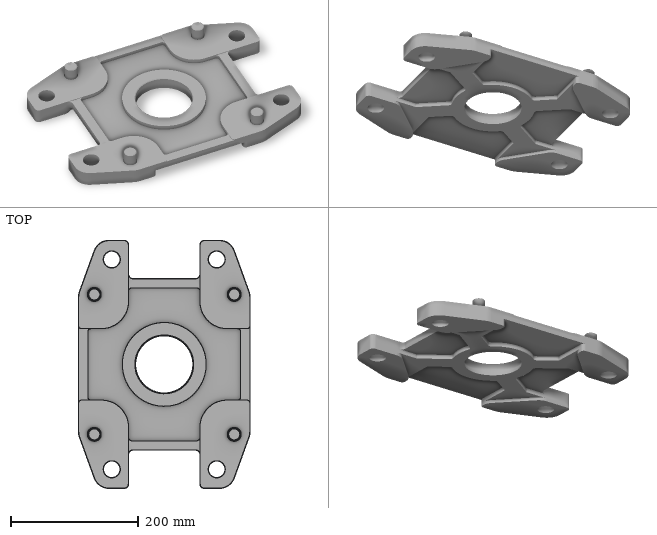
import cadquery as cq
import math

half_width = 135.0
half_length = 195.0
pad_top = 25.0
frame_top = 23.8
web_bottom = 12.0
floor_top = 17.5
rib_bottom = 5.0
end_radius = 7.0
side_radius = 5.0

pad_inner = 56.0
pad_inner_radius = 42.5
taper_start = 110.0
taper_end_x = 104.0
taper_start_radius = 30.0
pad_end_radius = 25.0
foot_inner_y = 76.0
sole_cut = 62.5
sole_radius = 20.0
bolt_hole_y = 165.0
bolt_hole_x = bolt_hole_y / 2
bolt_hole_diameter = 26.0

pocket_half = 120.0
pocket_radius = 5.0
hub_diameter = 132.0
bore_diameter = 90.0
bore_chamfer = 1.0
rib_width = 30.0
rib_root_radius = 6.0

pin_offset = 110.0
pin_diameter = 20.0
pin_hole_diameter = 22.0
pin_floor = web_bottom
pin_top = 44.5
pin_chamfer = 1.0

QUADRANTS = [(1, 1), (-1, 1), (-1, -1), (1, -1)]


def pad_prism(inner_y, inner_corners, inner_radius, bottom, top):
    """Pad of the +X +Y corner with its inner edge at inner_y.

    The inner corners are rounded with inner_radius, or left sharp if that is zero.
    """
    outer_corners = [
        ((half_width, inner_y), side_radius),
        ((half_width, taper_start), taper_start_radius),
        ((taper_end_x, half_length), pad_end_radius),
        ((pad_inner, half_length), end_radius),
    ]
    rounded = outer_corners + [(corner, inner_radius) for corner in inner_corners if inner_radius > 0]
    outline = [corner for corner, radius in outer_corners] + inner_corners
    middle_z = (bottom + top) / 2
    pad = cq.Workplane("XY").workplane(offset=bottom).polyline(outline).close().extrude(top - bottom)
    for corner, radius in rounded:
        nearest = cq.selectors.NearestToPointSelector((*corner, middle_z))
        pad = pad.edges("|Z").edges(nearest).fillet(radius)
    return pad


def in_all_corners(solid):
    """The solid of the +X +Y corner together with its mirror images in the other three."""
    pair = solid.union(solid.mirror("YZ"))
    return pair.union(pair.mirror("XZ"))


def box_between(size_x, size_y, bottom, top):
    return cq.Workplane("XY").workplane(offset=bottom).rect(size_x, size_y).extrude(top - bottom)


def cylinder_between(diameter, bottom, top):
    return cq.Workplane("XY").workplane(offset=bottom).circle(diameter / 2).extrude(top - bottom)


def make_frame():
    """Web with four raised bars on its edges that close the pocket between the pads."""
    pocket_side = 2 * pocket_half
    outer_side = 2 * half_width
    bar_length = 2 * (pad_inner + side_radius)
    web = box_between(pocket_side, pocket_side, web_bottom, frame_top)
    bars_x = box_between(outer_side, bar_length, web_bottom, frame_top)
    bars_y = box_between(bar_length, outer_side, web_bottom, frame_top)
    pocket = box_between(pocket_side, pocket_side, floor_top, frame_top)
    return web.union(bars_x).union(bars_y).cut(pocket)


def make_pads():
    """The four corner pads, from the underside of the web up."""
    pad = pad_prism(pad_inner, [(pad_inner, pad_inner)], pad_inner_radius, web_bottom, pad_top)
    return in_all_corners(pad)


def root_fillet(x, y, toward_x, toward_y, radius, bottom, top):
    """Concave fillet that fills the inside corner at (x, y), open toward the given signs."""
    middle = radius * (1 - math.sqrt(0.5))
    return (
        cq.Workplane("XY").workplane(offset=bottom)
        .moveTo(x, y)
        .lineTo(x + toward_x * radius, y)
        .threePointArc((x + toward_x * middle, y + toward_y * middle), (x, y + toward_y * radius))
        .close()
        .extrude(top - bottom)
    )


def make_corner_fillets():
    """Fillets where the frame meets the pads: in the notch and in the pocket."""
    notch = root_fillet(pad_inner, half_width, -1, 1, end_radius, web_bottom, frame_top)
    pocket_end = root_fillet(pad_inner, pocket_half, -1, -1, pocket_radius, floor_top, frame_top)
    pocket_side = root_fillet(pocket_half, pad_inner, -1, -1, pocket_radius, floor_top, frame_top)
    return in_all_corners(notch.union(pocket_end).union(pocket_side))


def make_underside():
    """Hub and diagonal ribs under the web, with filleted rib roots."""
    diagonal = math.degrees(math.atan2(half_length, half_width))
    rib_length = 2 * math.hypot(taper_end_x, taper_start)
    underside = cylinder_between(hub_diameter, rib_bottom, web_bottom)
    for angle in (diagonal, -diagonal):
        rib = box_between(rib_length, rib_width, rib_bottom, web_bottom)
        underside = underside.union(rib.rotate((0, 0, 0), (0, 0, 1), angle))
    hub_reach = hub_diameter / 2 + rib_root_radius
    roots = cq.selectors.BoxSelector((-hub_reach, -hub_reach, 0), (hub_reach, hub_reach, pad_top))
    return underside.edges("|Z").edges(roots).fillet(rib_root_radius)


def make_feet():
    """Pads continued below the web: square inside at rib height, cut off at 45 degrees below."""
    foot = pad_prism(foot_inner_y, [(pad_inner, foot_inner_y)], 0, rib_bottom, web_bottom)
    cut_corners = [(pad_inner, foot_inner_y + sole_cut), (pad_inner + sole_cut, foot_inner_y)]
    sole = pad_prism(foot_inner_y, cut_corners, sole_radius, 0, rib_bottom)
    return in_all_corners(foot.union(sole))


def cut_bore(plate):
    """Bore through the hub, chamfered at its top rim."""
    bore = cylinder_between(bore_diameter, 0, pad_top)
    bore_rim = (
        cq.Workplane("XY").workplane(offset=pad_top)
        .circle(bore_diameter / 2 + bore_chamfer)
        .workplane(offset=-bore_chamfer)
        .circle(bore_diameter / 2)
        .loft()
    )
    return plate.cut(bore).cut(bore_rim)


def cut_pad_holes(plate):
    """Bolt hole through each pad, and a blind hole for its pin."""
    bolt_hole = cylinder_between(bolt_hole_diameter, 0, pad_top)
    pin_hole = cylinder_between(pin_hole_diameter, pin_floor, pad_top)
    for sign_x, sign_y in QUADRANTS:
        plate = plate.cut(bolt_hole.translate((sign_x * bolt_hole_x, sign_y * bolt_hole_y, 0)))
        plate = plate.cut(pin_hole.translate((sign_x * pin_offset, sign_y * pin_offset, 0)))
    return plate


def make_plate():
    hub = cylinder_between(hub_diameter, web_bottom, pad_top)
    plate = make_frame().union(make_pads()).union(make_corner_fillets())
    plate = plate.union(hub).union(make_underside()).union(make_feet())
    return cut_pad_holes(cut_bore(plate))


def make_pin(sign_x, sign_y):
    """Pin with a chamfered tip, standing in one of the pin holes."""
    pin = cylinder_between(pin_diameter, pin_floor, pin_top).faces(">Z").chamfer(pin_chamfer)
    return pin.translate((sign_x * pin_offset, sign_y * pin_offset, 0))


plate = make_plate()
pins = [make_pin(sign_x, sign_y) for sign_x, sign_y in QUADRANTS]

result = cq.Compound.makeCompound([plate.val(), *[pin.val() for pin in pins]])